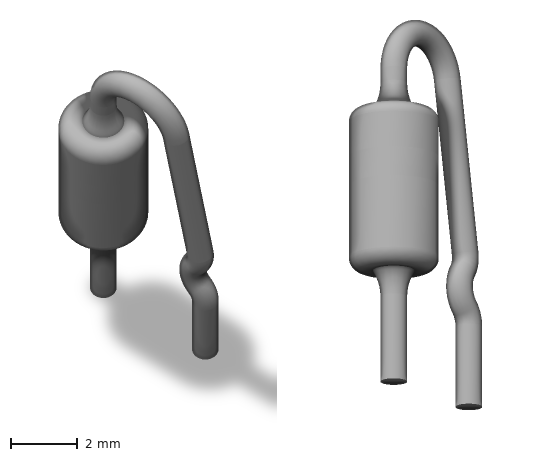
import cadquery as cq
import math

wire_radius = 0.4
total_height = 11.42
leg_pitch = 3.81
top_bend_radius = 1.37
slope_angle = 9.9
kink_in_angle = 35.5
kink_out_angle = 44.5
kink_radii = (0.74, 0.86, 0.8)

housing_radius = 1.35
housing_bottom = 3.43
housing_height = 5.0
housing_top = housing_bottom + housing_height
housing_edge_radius = 0.4

band_bottom = 6.04
band_height = 0.89
band_thickness = 0.1

flare_height = 0.8
flare_base_radius = 0.63
flare_spread = flare_base_radius - wire_radius
flare_arc_radius = (flare_height**2 + flare_spread**2) / (2 * flare_spread)


def cylinder(radius, bottom, height):
    """Vertical cylinder on the Z axis."""
    return cq.Workplane("XY").workplane(offset=bottom).circle(radius).extrude(height)


def make_band():
    outer = cylinder(housing_radius, band_bottom, band_height)
    return outer.cut(cylinder(housing_radius - band_thickness, band_bottom, band_height))


def make_housing(band):
    """Rounded cylinder with a wire bore and a groove that holds the band."""
    body = cylinder(housing_radius, housing_bottom, housing_height)
    body = body.edges().fillet(housing_edge_radius)
    bore = cylinder(wire_radius, housing_bottom, housing_height)
    return body.cut(bore).cut(band)


def make_flare(base_z, direction):
    """Flare widening toward base_z; direction is +1 when it narrows upward, -1 downward."""
    tip_z = base_z + direction * flare_height
    half_sweep = math.asin(flare_height / flare_arc_radius) / 2
    mid_radius = wire_radius + flare_arc_radius * (1 - math.cos(half_sweep))
    mid_z = tip_z - direction * flare_arc_radius * math.sin(half_sweep)
    return (
        cq.Workplane("XZ")
        .moveTo(0, base_z)
        .lineTo(flare_base_radius, base_z)
        .threePointArc((mid_radius, mid_z), (wire_radius, tip_z))
        .lineTo(0, tip_z)
        .close()
        .revolve(360, (0, 0, 0), (0, 1, 0))
    )


def bend_offset(radius, start_angle, end_angle):
    """Travel in X and Z along a bend of a descending wire.

    Angles are leans from straight down, in degrees, positive toward +X.
    """
    start = math.radians(start_angle)
    end = math.radians(end_angle)
    side = math.copysign(radius, end - start)
    return side * (math.cos(start) - math.cos(end)), -side * (math.sin(end) - math.sin(start))


def add_bend(path, start, radius, start_angle, end_angle):
    """Append a bend to the wire path and return the path with its end point."""
    mid_dx, mid_dz = bend_offset(radius, start_angle, (start_angle + end_angle) / 2)
    end_dx, end_dz = bend_offset(radius, start_angle, end_angle)
    middle = (start[0] + mid_dx, start[1] + mid_dz)
    end = (start[0] + end_dx, start[1] + end_dz)
    return path.threePointArc(middle, end), end


def make_lead():
    """One continuous wire with a flare at each end of the housing."""
    leans = (slope_angle, -kink_in_angle, kink_out_angle, 0)
    kinks = list(zip(kink_radii, leans[:-1], leans[1:]))

    bend_start_z = total_height - wire_radius - top_bend_radius
    top_dx, top_dz = bend_offset(top_bend_radius, 180, slope_angle)
    kink_dx = sum(bend_offset(*kink)[0] for kink in kinks)
    slope_dx = leg_pitch - top_dx - kink_dx
    slope_dz = -slope_dx / math.tan(math.radians(slope_angle))

    path = cq.Workplane("XZ").moveTo(0, 0).lineTo(0, bend_start_z)
    path, _ = add_bend(path, (0, bend_start_z), top_bend_radius, 180, slope_angle)
    point = (top_dx + slope_dx, bend_start_z + top_dz + slope_dz)
    path = path.lineTo(*point)
    for radius, start_angle, end_angle in kinks:
        path, point = add_bend(path, point, radius, start_angle, end_angle)
    path = path.lineTo(leg_pitch, 0)

    wire = cq.Workplane("XY").circle(wire_radius).sweep(path)
    return wire.union(make_flare(housing_top, 1)).union(make_flare(housing_bottom, -1))


band = make_band()
housing = make_housing(band)
lead = make_lead()

result = cq.Compound.makeCompound([body.solids().val() for body in (housing, band, lead)])